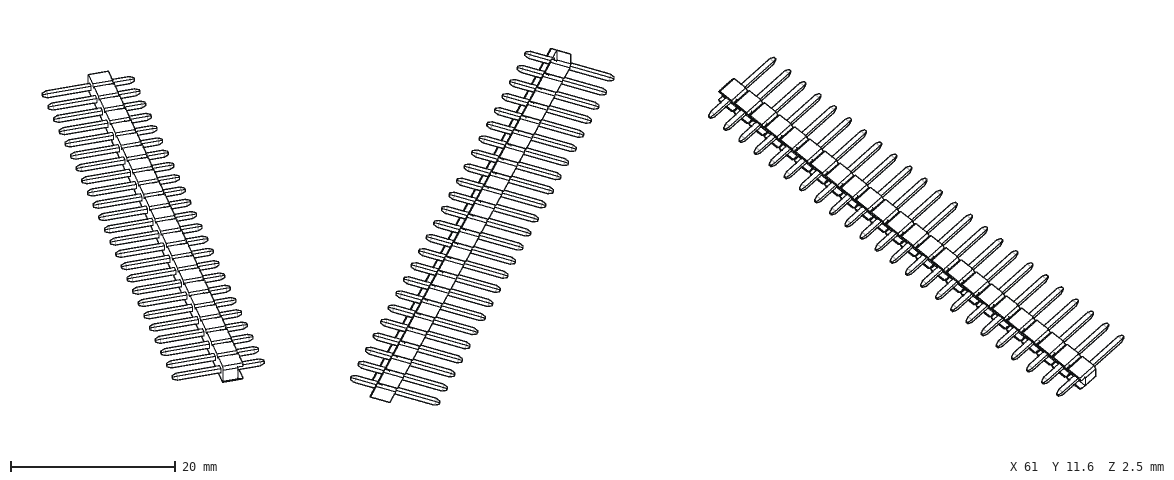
import cadquery as cq

pin_count = 24
pitch = 2.54

strip_height = 2.5
strip_depth = 2.54
lip_length = 0.7
lip_thickness = 0.33
chamfer_width = 0.3
chamfer_depth = 0.4

pin_width = 0.64
pin_offset_x = -0.1
pin_length = 11.6
pin_front_length = 6.06
tip_length = 0.55
tip_width = 0.32

pin_front_y = -pin_length / 2
pin_back_y = pin_length / 2
strip_front_y = pin_front_y + pin_front_length
strip_back_y = strip_front_y + strip_depth


def cell_center_x(index):
    """X position of the middle of one cell; the row is centred on the origin."""
    return (index - (pin_count - 1) / 2) * pitch


def strip_cell():
    """One chamfered octagonal cell of the insulator, centred on X = 0."""
    half_pitch = pitch / 2
    half_height = strip_height / 2
    flat_x = half_pitch - chamfer_width
    side_z = half_height - chamfer_depth
    return (
        cq.Workplane("XZ", origin=(0, strip_back_y, 0))
        .moveTo(-flat_x, half_height)
        .lineTo(flat_x, half_height)
        .lineTo(half_pitch, side_z)
        .lineTo(half_pitch, -side_z)
        .lineTo(flat_x, -half_height)
        .lineTo(-flat_x, -half_height)
        .lineTo(-half_pitch, -side_z)
        .lineTo(-half_pitch, side_z)
        .close()
        .extrude(strip_depth)
    )


def rear_channel():
    """Channel along one cell's rear that leaves a lip at top and bottom."""
    channel_height = strip_height - 2 * lip_thickness
    return cq.Workplane("XY").box(pitch, lip_length, channel_height).translate(
        (0, strip_back_y - lip_length / 2, 0)
    )


def pin_tip(base_y, end_y):
    """Tapered pin end that narrows from the shank at base_y to end_y."""
    direction = 1 if end_y > base_y else -1
    plane = cq.Plane(origin=(0, base_y, 0), xDir=(1, 0, 0), normal=(0, direction, 0))
    return (
        cq.Workplane(plane)
        .rect(pin_width, pin_width)
        .workplane(offset=tip_length)
        .rect(tip_width, tip_width)
        .loft(ruled=True)
    )


def pin():
    """Square pin with a tapered tip at each end."""
    shank = cq.Workplane("XY").box(pin_width, pin_length - 2 * tip_length, pin_width)
    front_tip = pin_tip(pin_front_y + tip_length, pin_front_y)
    back_tip = pin_tip(pin_back_y - tip_length, pin_back_y)
    return shank.union(front_tip).union(back_tip)


contact = strip_cell().cut(rear_channel()).union(pin().translate((pin_offset_x, 0, 0)))

result = contact.translate((cell_center_x(0), 0, 0))
for index in range(1, pin_count):
    result = result.union(contact.translate((cell_center_x(index), 0, 0)))
result = result.clean()